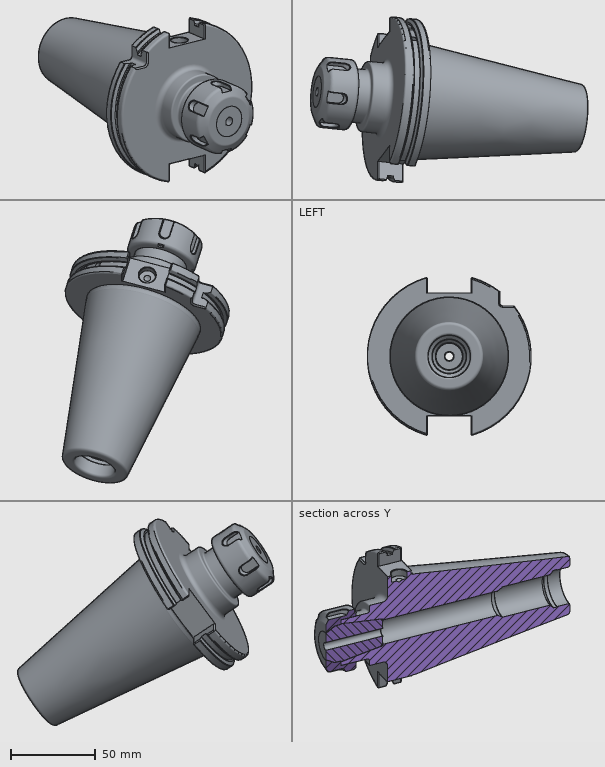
import cadquery as cq
import math


gauge_radius = 69.85 / 2
taper_length = 101.75
taper_slope = 7 / 48
tail_radius = gauge_radius - taper_length * taper_slope
tail_fillet = 2.0

flange_back = 3.2
flange_front = 19.1
flange_radius = 97.5 / 2
flange_back_fillet = 1.0
flange_front_fillet = 1.25
collar_radius = 70 / 2
collar_ramp = 0.25
collar_flare_length = 1.1
collar_flare_rise = 0.3

groove_center = 11.1
groove_floor_radius = 90.9 / 2
groove_floor_width = 3.5
groove_wall_height = 1.1
groove_flank_angle = 30
groove_edge_fillet = 0.5

slot_width = 25.7
slot_floor_top = 37.7
slot_floor_bottom = 35.3
slot_chamfer = 0.75

notch_offset = 30.0
notch_fillet = 2.0
notch_chamfer = 0.85

chip_diameter = 10.0
chip_depth = 4.6
chip_chamfer = 0.35
chip_dimple_diameter = 3.9
drill_point_angle = 118

balance_diameter = 3.5
balance_depth = 10.0
balance_angles = (42.3, 57.8)

spigot_radius = 42 / 2
spigot_front = 31.2
spigot_root_fillet = 3.0
spigot_edge_fillet = 1.0
nose_radius = 32 / 2
nose_root_fillet = 1.0
nose_front = 50.0

bore_fillet = 1.5
pilot_radius = 25 / 2
pilot_depth = 8.7
relief_radius = 25.6 / 2
relief_depth = 11.2
thread_radius = 20.7 / 2
thread_depth = 45.0
drill_radius = 20 / 2
drill_taper_angle = 30
clearance_radius = 16.5 / 2

collet_half_angle = 8
collet_back = 22.0
collet_back_radius = 18.2 / 2
collet_mouth_radius = 25.75 / 2
collet_bore_radius = 5 / 2
collet_bore_chamfer = 0.4
collet_back_chamfer = 1.3
collet_length = (collet_mouth_radius - collet_back_radius) / math.tan(math.radians(collet_half_angle))
collet_mouth = collet_back + collet_length
collet_shoulder = 54.0
collet_front = 60.0
collet_front_angle = 30

nut_back = 39.65
nut_front = collet_front
nut_radius = 42 / 2
nut_back_fillet = 2.0
nut_front_fillet = 2.3
nut_face_radius = 15.0
spanner_edge_break = 0.35
nut_face_fillet = 2.0
nut_cone_angle = 60
nut_cone_start = nut_front - (nut_radius - nut_face_radius) / math.tan(math.radians(nut_cone_angle))

spanner_width = 6.2
spanner_floor_radius = 18.2
spanner_tilt = 30
spanner_start_upper = 44.7
spanner_start_lower = 46.6
spanner_step = 60

dimple_diameter = 3.5
dimple_offset = 20.0
dimple_depth = 1.0

overcut = 1.0
tolerance = 0.01


def revolve_about_x(profile):
    """Full turn of a closed (axial, radial) sketch about the spindle axis."""
    return profile.close().revolve(360, (0, 0, 0), (1, 0, 0))


def circle_edge(body, x, radius):
    """The circular edges of the given radius that lie in the plane at x."""
    chosen = []
    for edge in body.edges("%CIRCLE").vals():
        lies_flat = edge.BoundingBox().xlen < tolerance
        at_place = abs(edge.startPoint().x - x) < tolerance
        if lies_flat and at_place and abs(edge.radius() - radius) < tolerance:
            chosen.append(edge)
    return body.newObject(chosen)


def box_between(x_range, y_range, z_range):
    """Box from its lower and upper limits along each axis."""
    limits = (x_range, y_range, z_range)
    sizes = [high - low for low, high in limits]
    corner = tuple(low for low, high in limits)
    return cq.Workplane("XY").box(*sizes, centered=False).translate(corner)



through_flange = (flange_back - overcut, flange_front + overcut)
beyond_flange = flange_radius + overcut


def cut_notch(flange):
    cutter = box_between(through_flange, (-beyond_flange, -notch_offset), (notch_offset, beyond_flange))
    cutter = cutter.edges("|X and >Y and <Z").fillet(notch_fillet)
    flange = flange.cut(cutter)
    rim_edges = []
    for edge in flange.faces("<X or >X").edges().vals():
        center = edge.Center()
        if center.y < -notch_offset + notch_fillet and center.z > notch_offset - notch_fillet:
            rim_edges.append(edge)
    return flange.newObject(rim_edges).chamfer(notch_chamfer)


def make_drive_slots():
    """Cutters of the upper and the lower drive slot."""
    across_slot = (-slot_width / 2, slot_width / 2)
    top = box_between(through_flange, across_slot, (slot_floor_top, beyond_flange))
    bottom = box_between(through_flange, across_slot, (-beyond_flange, -slot_floor_bottom))
    return top.add(bottom).combine()


def cut_drive_slots(flange):
    """Cut the slots and chamfer every edge of their walls except along the floor."""
    flange = flange.cut(make_drive_slots())
    wall_edges = []
    for wall in flange.faces("|Y").vals():
        if abs(abs(wall.Center().y) - slot_width / 2) > tolerance:
            continue
        for edge in wall.Edges():
            height = edge.Center().z
            on_top_floor = abs(height - slot_floor_top) < tolerance
            on_bottom_floor = abs(height + slot_floor_bottom) < tolerance
            if not (on_top_floor or on_bottom_floor):
                wall_edges.append(edge)
    return flange.newObject(wall_edges).chamfer(slot_chamfer)


def cut_groove(flange):
    half_floor = groove_floor_width / 2
    wall_top = groove_floor_radius + groove_wall_height
    flank_run = (flange_radius - wall_top) * math.tan(math.radians(groove_flank_angle))
    half_mouth = half_floor + flank_run
    tangent = groove_edge_fillet * math.tan(math.radians((90 - groove_flank_angle) / 2))
    touch_x = tangent * math.sin(math.radians(groove_flank_angle))
    touch_drop = tangent * math.cos(math.radians(groove_flank_angle))
    outside = flange_radius + overcut
    profile = (
        cq.Workplane("XY")
        .moveTo(groove_center - half_mouth - tangent, outside)
        .lineTo(groove_center - half_mouth - tangent, flange_radius)
        .tangentArcPoint((groove_center - half_mouth + touch_x, flange_radius - touch_drop), relative=False)
        .lineTo(groove_center - half_floor, wall_top)
        .lineTo(groove_center - half_floor, groove_floor_radius)
        .lineTo(groove_center + half_floor, groove_floor_radius)
        .lineTo(groove_center + half_floor, wall_top)
        .lineTo(groove_center + half_mouth - touch_x, flange_radius - touch_drop)
        .tangentArcPoint((groove_center + half_mouth + tangent, flange_radius), relative=False)
        .lineTo(groove_center + half_mouth + tangent, outside)
    )
    return flange.cut(revolve_about_x(profile))


def make_flange():
    flange = revolve_about_x(
        cq.Workplane("XY")
        .moveTo(flange_back, 0)
        .lineTo(flange_back, flange_radius)
        .lineTo(flange_front, flange_radius)
        .lineTo(flange_front, 0)
    )
    flange = cut_notch(flange)
    flange = circle_edge(flange, flange_back, flange_radius).fillet(flange_back_fillet)
    flange = circle_edge(flange, flange_front, flange_radius).fillet(flange_front_fillet)
    flange = cut_drive_slots(flange)
    return cut_groove(flange)


def make_shank():
    """Taper with its straight collar, which swells into the flange."""
    shank = revolve_about_x(
        cq.Workplane("XY")
        .moveTo(-taper_length, 0)
        .lineTo(-taper_length, tail_radius)
        .lineTo(-collar_ramp, gauge_radius - collar_ramp * taper_slope)
        .lineTo(collar_ramp, collar_radius)
        .lineTo(flange_back - collar_flare_length, collar_radius)
        .tangentArcPoint((flange_back, collar_radius + collar_flare_rise), relative=False)
        .lineTo(flange_back, 0)
    )
    return circle_edge(shank, -taper_length, tail_radius).fillet(tail_fillet)


def make_spigot_and_nose():
    return revolve_about_x(
        cq.Workplane("XY")
        .moveTo(flange_front, 0)
        .lineTo(flange_front, spigot_radius + spigot_root_fillet)
        .radiusArc((flange_front + spigot_root_fillet, spigot_radius), -spigot_root_fillet)
        .lineTo(spigot_front - spigot_edge_fillet, spigot_radius)
        .radiusArc((spigot_front, spigot_radius - spigot_edge_fillet), spigot_edge_fillet)
        .lineTo(spigot_front, nose_radius + nose_root_fillet)
        .radiusArc((spigot_front + nose_root_fillet, nose_radius), -nose_root_fillet)
        .lineTo(nose_front, nose_radius)
        .lineTo(nose_front, 0)
    )


def make_bore():
    """Drawbar bore that steps down to the clearance hole behind the collet."""
    tail = -taper_length
    drill_taper_length = (drill_radius - clearance_radius) / math.tan(math.radians(drill_taper_angle))
    return revolve_about_x(
        cq.Workplane("XY")
        .moveTo(tail, 0)
        .lineTo(tail, pilot_radius + bore_fillet)
        .radiusArc((tail + bore_fillet, pilot_radius), -bore_fillet)
        .lineTo(tail + pilot_depth, pilot_radius)
        .lineTo(tail + pilot_depth, relief_radius)
        .lineTo(tail + relief_depth, relief_radius)
        .lineTo(tail + relief_depth, pilot_radius)
        .lineTo(tail + relief_depth + pilot_radius - thread_radius, thread_radius)
        .lineTo(tail + thread_depth, thread_radius)
        .lineTo(tail + thread_depth, drill_radius)
        .lineTo(tail + thread_depth + drill_taper_length, clearance_radius)
        .lineTo(collet_back, clearance_radius)
        .lineTo(collet_back, 0)
    )


def drill_point_length(diameter):
    return diameter / 2 / math.tan(math.radians(drill_point_angle / 2))


def make_chip_pocket():
    """Flat round pocket with a broken edge and a drill point dimple in its floor."""
    radius = chip_diameter / 2
    pocket_floor = slot_floor_top - chip_depth
    profile = (
        cq.Workplane("XZ")
        .moveTo(0, slot_floor_top)
        .lineTo(radius + chip_chamfer, slot_floor_top)
        .lineTo(radius, slot_floor_top - chip_chamfer)
        .lineTo(radius, pocket_floor)
        .lineTo(chip_dimple_diameter / 2, pocket_floor)
        .lineTo(0, pocket_floor - drill_point_length(chip_dimple_diameter))
        .close()
    )
    chip_x = (flange_back + flange_front) / 2
    return profile.revolve(360, (0, 0, 0), (0, 1, 0)).translate((chip_x, 0, 0))


def make_balance_hole(angle):
    hole = (
        cq.Workplane("XY", origin=(groove_center, 0, groove_floor_radius - balance_depth))
        .circle(balance_diameter / 2)
        .extrude(balance_depth + overcut)
    )
    return hole.rotate((0, 0, 0), (1, 0, 0), -angle)


def make_holder():
    flange = make_flange()
    shank = make_shank().cut(make_drive_slots())
    holder = flange.union(shank).union(make_spigot_and_nose())
    holder = holder.cut(make_bore()).cut(make_collet_envelope())
    holder = holder.cut(make_chip_pocket())
    for angle in balance_angles:
        holder = holder.cut(make_balance_hole(angle))
    return holder



def make_collet_envelope():
    """Outside of the collet, which is also the seat it fills in the holder and the nut."""
    front_run = collet_front - collet_shoulder
    front_radius = collet_mouth_radius - front_run * math.tan(math.radians(collet_front_angle))
    return revolve_about_x(
        cq.Workplane("XY")
        .moveTo(collet_back, 0)
        .lineTo(collet_back, collet_back_radius)
        .lineTo(collet_mouth, collet_mouth_radius)
        .lineTo(collet_shoulder, collet_mouth_radius)
        .lineTo(collet_front, front_radius)
        .lineTo(collet_front, 0)
    )


def make_collet():
    bore = cq.Workplane("YZ", origin=(collet_back, 0, 0)).circle(collet_bore_radius)
    collet = make_collet_envelope().cut(bore.extrude(collet_front - collet_back))
    collet = circle_edge(collet, collet_back, collet_bore_radius).chamfer(collet_bore_chamfer)
    return circle_edge(collet, collet_back, collet_back_radius).chamfer(collet_back_chamfer)



def make_spanner_cutter(start):
    """Flat-floored slot at +Z, open at the front, with a leaning round end."""
    radius = spanner_width / 2
    lean = math.tan(math.radians(spanner_tilt))
    top = nut_radius + overcut
    center_at_top = start + radius - lean * overcut
    center_at_floor = center_at_top + lean * (top - spanner_floor_radius)
    straight = (
        cq.Workplane("XZ")
        .moveTo(center_at_top, top)
        .lineTo(nut_front + overcut, top)
        .lineTo(nut_front + overcut, spanner_floor_radius)
        .lineTo(center_at_floor, spanner_floor_radius)
        .close()
        .extrude(radius, both=True)
    )
    round_end = (
        cq.Workplane("XY", origin=(center_at_top, 0, top))
        .circle(radius)
        .workplane(offset=spanner_floor_radius - top)
        .center(center_at_floor - center_at_top, 0)
        .circle(radius)
        .loft(ruled=True)
    )
    return straight.union(round_end)


def break_spanner_edges(nut):
    """Chamfer the slot outlines where they cross the outer cylinder of the nut."""
    outline = []
    for face in nut.faces("%CYLINDER").vals():
        if abs(face.BoundingBox().xmin - nut_back - nut_back_fillet) > tolerance:
            continue
        outline += [edge for edge in face.Edges() if edge.BoundingBox().xlen > tolerance]
    return nut.newObject(outline).chamfer(spanner_edge_break)


def make_nut_dimple():
    """Shallow round notch in the rear rim of the nut, at +Z."""
    center = (nut_back - overcut, 0, dimple_offset)
    dimple = cq.Workplane("YZ", origin=center).circle(dimple_diameter / 2)
    return dimple.extrude(overcut + dimple_depth)


def make_nut():
    nut = revolve_about_x(
        cq.Workplane("XY")
        .moveTo(nut_back, nose_radius)
        .lineTo(nut_back, nut_radius)
        .lineTo(nut_cone_start, nut_radius)
        .lineTo(nut_front, nut_face_radius)
        .lineTo(nut_front, 0)
        .lineTo(nose_front, 0)
        .lineTo(nose_front, nose_radius)
    )
    nut = circle_edge(nut, nut_back, nut_radius).fillet(nut_back_fillet)
    nut = circle_edge(nut, nut_cone_start, nut_radius).fillet(nut_front_fillet)
    nut = circle_edge(nut, nut_front, nut_face_radius).fillet(nut_face_fillet)
    for angle in range(0, 360, spanner_step):
        on_upper_side = math.cos(math.radians(angle)) > 0
        start = spanner_start_upper if on_upper_side else spanner_start_lower
        nut = nut.cut(make_spanner_cutter(start).rotate((0, 0, 0), (1, 0, 0), angle))
    nut = break_spanner_edges(nut)
    nut = nut.cut(make_nut_dimple())
    return nut.cut(make_collet_envelope())


holder = make_holder()
collet = make_collet()
nut = make_nut()

result = cq.Compound.makeCompound([holder.val(), collet.val(), nut.val()])